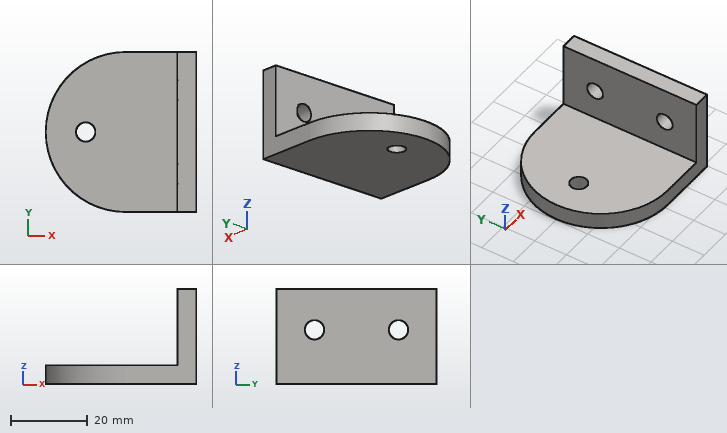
import cadquery as cq

length = 39.5
width = 42.0
height = 25.0
thickness = 5.0
hole_diameter = 5.0
wall_hole_spacing = 22.0
wall_hole_height = 14.25

end_radius = width / 2
wall_back_x = length - end_radius
wall_front_x = wall_back_x - thickness
base_hole_x = -end_radius / 2


def base_plate():
    """Flat plate with a full half-round end towards -X."""
    return (
        cq.Workplane("XY")
        .moveTo(wall_back_x, -end_radius)
        .lineTo(0, -end_radius)
        .threePointArc((-end_radius, 0), (0, end_radius))
        .lineTo(wall_back_x, end_radius)
        .close()
        .extrude(thickness)
    )


def upright_wall():
    """Rectangular wall along the straight +X edge of the base."""
    return cq.Workplane("XY").box(thickness, width, height, centered=(False, True, False)).translate(
        (wall_front_x, 0, 0)
    )


def base_hole():
    """Vertical cutter through the base plate."""
    return cq.Workplane("XY").center(base_hole_x, 0).circle(hole_diameter / 2).extrude(thickness)


def wall_holes():
    """Pair of cutters through the wall along X, symmetric about the middle."""
    half_spacing = wall_hole_spacing / 2
    return (
        cq.Workplane("YZ", origin=(wall_front_x, 0, 0))
        .pushPoints([(-half_spacing, wall_hole_height), (half_spacing, wall_hole_height)])
        .circle(hole_diameter / 2)
        .extrude(thickness)
    )


bracket = base_plate().union(upright_wall())
result = bracket.cut(base_hole()).cut(wall_holes())